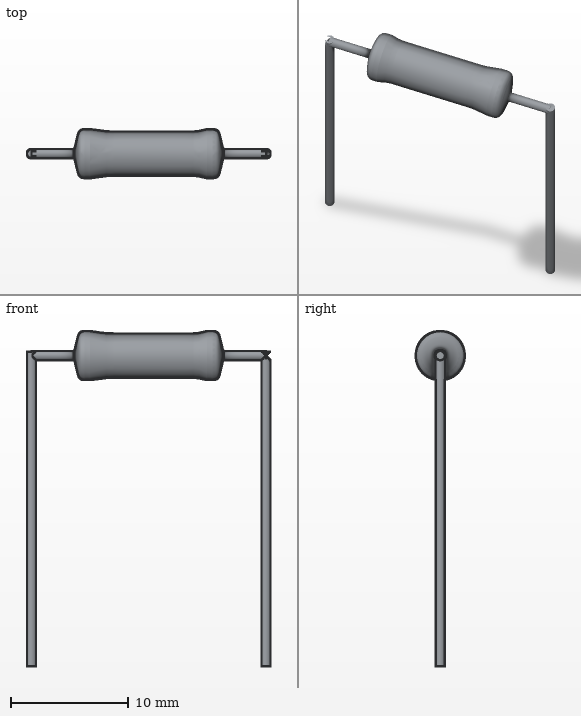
import cadquery as cq

LENGTH_X = 20.8
LENGTH_Z = 28.6
WIRE_DIAMETER = 0.8
END_DIAMETER = 4.2
WAIST_DIAMETER = 3.8

wire_radius = WIRE_DIAMETER / 2
end_radius = END_DIAMETER / 2
waist_radius = WAIST_DIAMETER / 2
lead_x = LENGTH_X / 2 - wire_radius
lead_bottom = end_radius - LENGTH_Z
LEAD_TOP = 0.35

STUB_X = 6.95
COLLAR_X = 6.4
FACE_X = 6.32
SHOULDER_X = 6.05
RIM_OUTER_X = 5.45
RIM_INNER_X = 4.98

COLLAR_RADIUS = 0.5
SHOULDER_RADIUS = 1.57

FACE_LEAN = 0.25
FLARE_SLOPE = 0.2

WAIST_START = -3.0
WAIST_END = 3.83


def x_cylinder(start, end):
    """Wire along X between two positions."""
    return cq.Workplane("YZ").workplane(offset=start).circle(wire_radius).extrude(end - start)


def lead(x):
    """Vertical lead, square cut at both ends."""
    profile = cq.Workplane("XY").workplane(offset=lead_bottom).center(x, 0)
    return profile.circle(wire_radius).extrude(LEAD_TOP - lead_bottom)


def make_body():
    """Coated body with its short wire stubs, revolved about X."""
    profile = (
        cq.Workplane("XZ")
        .moveTo(-STUB_X, 0)
        .lineTo(-STUB_X, wire_radius)
        .lineTo(-COLLAR_X, wire_radius)
        .lineTo(-FACE_X, COLLAR_RADIUS)
        .lineTo(-SHOULDER_X, SHOULDER_RADIUS)
        .spline([(-RIM_OUTER_X, end_radius)], tangents=[(FACE_LEAN, 1), (1, 0)], includeCurrent=True)
        .lineTo(-RIM_INNER_X, end_radius)
        .spline([(WAIST_START, waist_radius)], tangents=[(1, -FLARE_SLOPE), (1, 0)], includeCurrent=True)
        .lineTo(WAIST_END, waist_radius)
        .spline([(RIM_INNER_X, end_radius)], tangents=[(1, 0), (1, FLARE_SLOPE)], includeCurrent=True)
        .lineTo(RIM_OUTER_X, end_radius)
        .spline([(SHOULDER_X, SHOULDER_RADIUS)], tangents=[(1, 0), (FACE_LEAN, -1)], includeCurrent=True)
        .lineTo(FACE_X, COLLAR_RADIUS)
        .lineTo(COLLAR_X, wire_radius)
        .lineTo(STUB_X, wire_radius)
        .lineTo(STUB_X, 0)
        .close()
    )
    return profile.revolve(360, (0, 0, 0), (1, 0, 0))


left_leg = lead(-lead_x).union(x_cylinder(-lead_x, -STUB_X))

bore = x_cylinder(STUB_X, lead_x + WIRE_DIAMETER)
right_leg = lead(lead_x).cut(bore).union(x_cylinder(STUB_X, lead_x))

result = make_body().union(left_leg).union(right_leg)